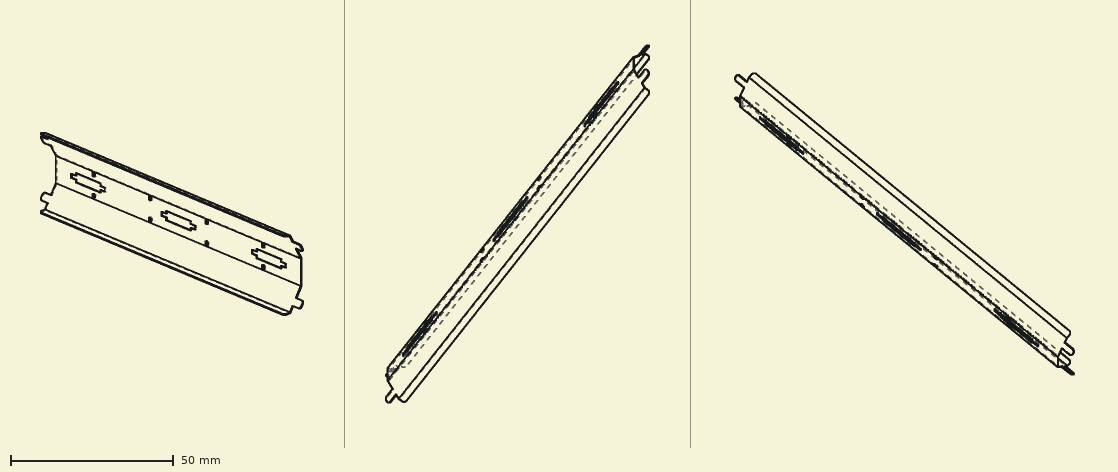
import cadquery as cq
import math

body_length = 130.0
overall_length = 138.0
overall_depth = 6.57
overall_height = 25.78
sheet_thickness = 0.4

web_half_height = 4.5
flange_angle = 62.0
lip_angle = 10.0
lip_corner_radius = 1.0

tab_width = 2.7
tab_offset = 5.4
tab_corner_radius = 1.0

slot_pitch = 48.0
slot_length = 17.8
slot_end_height = 1.3
slot_middle_length = 13.0
slot_middle_height = 3.0

hole_diameter = 1.5
hole_pitch = 30.0
hole_columns = 4
hole_row_spacing = 7.0

half_height = overall_height / 2
flange_rad = math.radians(flange_angle)
lip_rad = math.radians(lip_angle)
flange_slope = math.tan(flange_rad)
lip_slope = math.tan(lip_rad)
web_bend_shift = sheet_thickness * math.tan((math.pi / 2 - flange_rad) / 2)
lip_bend_shift = sheet_thickness * math.tan((flange_rad - lip_rad) / 2)
lip_end_depth = overall_depth - sheet_thickness * math.sin(lip_rad)
lip_line_offset = half_height - web_half_height - lip_slope * lip_end_depth
lip_bend_depth = lip_line_offset / (flange_slope - lip_slope)
lip_bend_height = web_half_height + flange_slope * lip_bend_depth


def section_half():
    """Outer then inner corners of the upper half section, as (Y, Z) points."""
    outer = [
        (0, web_half_height),
        (-lip_bend_depth, lip_bend_height),
        (-lip_end_depth, half_height),
    ]
    inner = [
        (-overall_depth, half_height - sheet_thickness * math.cos(lip_rad)),
        (
            -lip_bend_depth - lip_bend_shift * math.cos(lip_rad) - sheet_thickness * math.sin(lip_rad),
            lip_bend_height + lip_bend_shift * math.sin(lip_rad) - sheet_thickness * math.cos(lip_rad),
        ),
        (-sheet_thickness, web_half_height - web_bend_shift),
    ]
    return outer, inner


def make_body():
    outer, inner = section_half()
    upper = outer + inner
    lower = [(y, -z) for y, z in reversed(upper)]
    profile = cq.Workplane("YZ").polyline(upper + lower).close()
    return profile.extrude(body_length / 2, both=True)


def lip_plane(side):
    """Plane on the outer face of one lip: local X along the part, origin at the lip end."""
    return cq.Plane(
        origin=(0, -lip_end_depth, side * half_height),
        xDir=(1, 0, 0),
        normal=(0, side * math.sin(lip_rad), math.cos(lip_rad)),
    )


def round_lip_corners(body):
    """Round the free corners at both ends of each lip."""
    for side in (1, -1):
        plane = lip_plane(side)
        for end in (1, -1):
            corner = (
                cq.Workplane(plane)
                .moveTo(end * body_length / 2, 0)
                .lineTo(end * body_length / 2, lip_corner_radius)
                .radiusArc((end * (body_length / 2 - lip_corner_radius), 0), end * lip_corner_radius)
                .close()
                .extrude(2 * sheet_thickness, both=True)
            )
            body = body.cut(corner)
    return body


def make_tab_strip(side):
    """Strip lying in one flange and reaching past both body ends as rounded tabs."""
    plane = cq.Plane(
        origin=(
            0,
            -tab_offset * math.cos(flange_rad),
            side * (web_half_height + tab_offset * math.sin(flange_rad)),
        ),
        xDir=(1, 0, 0),
        normal=(0, -math.sin(flange_rad), -side * math.cos(flange_rad)),
    )
    strip = cq.Workplane(plane).rect(overall_length, tab_width).extrude(sheet_thickness)
    corner_edges = cq.selectors.ParallelDirSelector(plane.zDir)
    return strip.edges(corner_edges).fillet(tab_corner_radius)


def make_slots():
    """Cutters for three slots with a taller middle part."""
    centres = [(-slot_pitch, 0), (0, 0), (slot_pitch, 0)]
    web_face = cq.Workplane("XZ").pushPoints(centres)
    ends = web_face.rect(slot_length, slot_end_height).extrude(sheet_thickness)
    middles = web_face.rect(slot_middle_length, slot_middle_height).extrude(sheet_thickness)
    return ends.union(middles)


def make_holes():
    """Cutters for two rows of round holes above and below the slots."""
    return (
        cq.Workplane("XZ")
        .rarray(hole_pitch, hole_row_spacing, hole_columns, 2)
        .circle(hole_diameter / 2)
        .extrude(sheet_thickness)
    )


part = round_lip_corners(make_body())
for flange_side in (1, -1):
    part = part.union(make_tab_strip(flange_side))
result = part.cut(make_slots()).cut(make_holes())